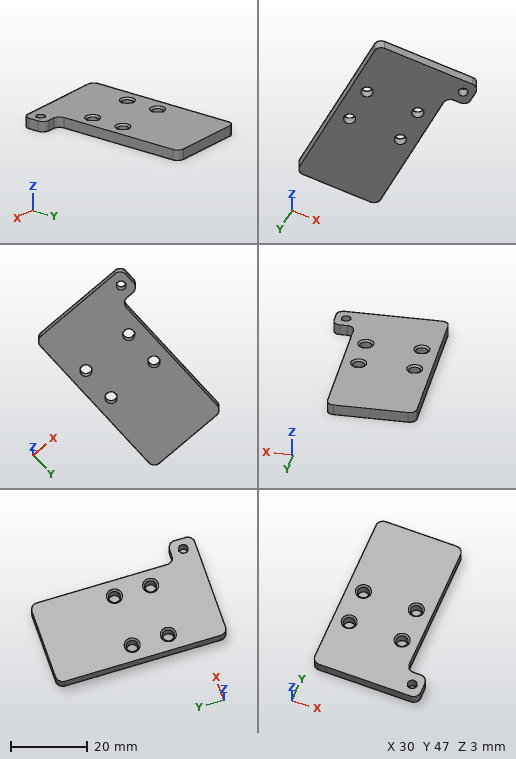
import cadquery as cq

plate_width = 24.0
plate_length = 47.0
thickness = 3.0
corner_radius = 2.0

tab_reach = 6.0
tab_length = 7.0
tab_hole_diameter = 2.5

screw_hole_diameter = 3.2
screw_chamfer = 0.5
screw_chamfer_cone_angle = 90.0
screw_spacing_x = 15.0
screw_spacing_y = 10.0
screw_center_x = plate_width / 2
screw_center_y = 20.0

screw_hole_top_diameter = screw_hole_diameter + 2 * screw_chamfer
total_width = plate_width + tab_reach
tab_hole_x = plate_width + tab_reach / 2
tab_hole_y = tab_length / 2


def make_plate():
    """L-shaped plate with every vertical edge rounded, lower left corner at the origin."""
    outline = [
        (0, 0),
        (total_width, 0),
        (total_width, tab_length),
        (plate_width, tab_length),
        (plate_width, plate_length),
        (0, plate_length),
    ]
    plate = cq.Workplane("XY").polyline(outline).close().extrude(thickness)
    return plate.edges("|Z").fillet(corner_radius)


def cut_screw_holes(plate):
    """Through holes on a rectangular pattern, each with a 45 degree chamfer at the top."""
    return (
        plate.faces(">Z")
        .workplane(origin=(screw_center_x, screw_center_y, thickness))
        .rarray(screw_spacing_x, screw_spacing_y, 2, 2)
        .cskHole(screw_hole_diameter, screw_hole_top_diameter, screw_chamfer_cone_angle)
    )


def cut_tab_hole(plate):
    """Plain through hole in the tab."""
    return (
        plate.faces(">Z")
        .workplane(origin=(tab_hole_x, tab_hole_y, thickness))
        .hole(tab_hole_diameter)
    )


result = cut_tab_hole(cut_screw_holes(make_plate()))